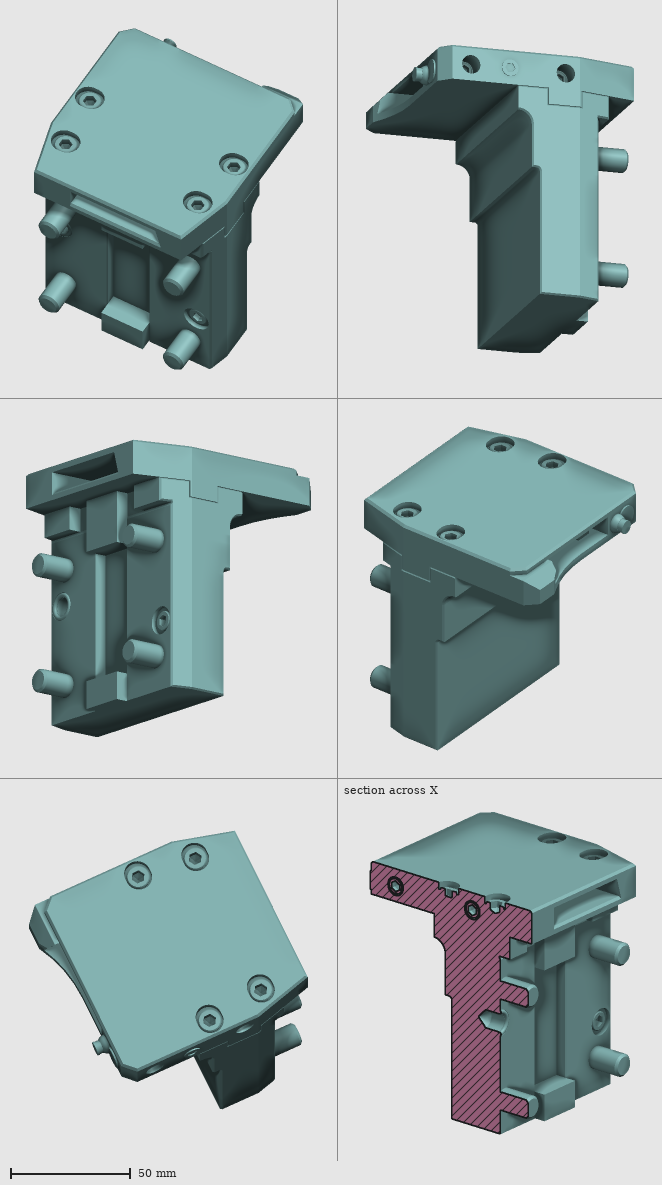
import cadquery as cq
import math


HALF_WIDTH = 42.5
HEIGHT = 105.0
PLATE_BOTTOM = 90.0
FRONT = -17.0
BACK = 70.0

TAPER_START = 9.0
FRONT_HALF_WIDTH = 35.5
BACK_CORNER = 5.0
TOP_CHAMFER = 1.0

UPPER_BACK = 36.0
UPPER_BOTTOM = 79.5
MIDDLE_BACK = 30.0
MIDDLE_BOTTOM = 55.0
LOWER_BACK = 26.5
STEP_RADIUS = 1.5
BODY_CHAMFER = 0.7
LEDGE_FRONT = -5.0
LEDGE_BOTTOM = 80.0
LEDGE_INNER_X = 21.3
RELIEF_DEPTH = 0.8
RELIEF_HEIGHT = 1.4

RIB_FRONT = 8.3
RIB_BACK = 22.7
RIB_BOTTOM = 83.0

KEY_HALF_WIDTH = 10.0
KEY_SLOT_DEPTH = 5.0
KEY_SLOT_CHAMFER = 0.5
KEY_LENGTH = 12.0
UPPER_KEY_BOTTOM = 68.0

PIN_X = 30.0
PIN_HEIGHTS = (15.0, 65.0)
PIN_DIAMETER = 10.0
PIN_END = -15.0
PIN_CHAMFER = 1.0

PORT_X = 33.0
OPEN_PORT_Z = 50.0
PLUGGED_PORT_Z = 30.0
PORT_DIAMETER = 12.0
PORT_BORE = 8.0
PORT_BORE_DEPTH = 8.0
RING_SECTION = 2.0
RING_PROUD = 0.4
PLUG_RECESS = 2.0
PLUG_DIAMETER = 8.5
PLUG_RISE = 1.0
PLUG_CHAMFER = 0.4
PLUG_HEX = 4.5
PLUG_HEX_DEPTH = 2.5

SCREW_PLACES = ((34.8, 28.0), (31.9, 3.0))
COUNTERBORE_LENGTH = 12.6
COUNTERBORE_WIDTH = 11.0
COUNTERBORE_DEPTH = 3.0
SCREW_HEAD_DIAMETER = 10.0
SCREW_HEAD_RISE = 1.0
SCREW_HEAD_CHAMFER = 0.6
SCREW_HEX = 5.0
SCREW_HEX_DEPTH = 3.0

WINDOW_LEFT = -18.2
WINDOW_FLOOR = 93.2
WINDOW_TOP = 102.0
WINDOW_RIGHT_TOP = 23.0
WINDOW_RIGHT_FLOOR = 25.5
WINDOW_SILL_CHAMFER = 1.0
JAW_LEFT = -14.5
JAW_RIGHT_FLOOR = -7.2
JAW_RIGHT_TOP = -5.0
JAW_FRONT = 9.0
JAW_BACK = 63.0

SIDE_AXIS_Z = 97.0
CLAMP_SCREW_Y = 39.8
CLAMP_SCREW_DIAMETER = 7.2
CLAMP_SCREW_PROUD = 0.53
CLAMP_SCREW_HEX = 3.8
CLAMP_HEX_DEPTH = 0.5
CLAMP_TIP_DIAMETER = 4.2
SIDE_BORE_YS = (15.3, 56.8)
SIDE_BORE_DIAMETER = 8.0
SIDE_BORE_DEPTH = 10.0
SIDE_SCREW_DIAMETER = 7.0
SIDE_SCREW_RISE = 1.0
SIDE_SCREW_CHAMFER = 0.6
SIDE_SCREW_HEX = 4.0
SIDE_SCREW_HEX_DEPTH = 2.5

NOSE_BACK = 77.0
NOSE_LEFT = 0.3
NOSE_CREST_X = 27.8
NOSE_CHAMFER = 5.0

PLUNGER_X = -23.7
PLUNGER_Z = 96.3
PLUNGER_DOME_RADIUS = 4.15
PLUNGER_NECK_RADIUS = 2.85
PLUNGER_CAP_RADIUS = 3.0
PLUNGER_CAP_LENGTH = 0.8
PLUNGER_LENGTH = 5.6
DISC_X = -30.2
DISC_DIAMETER = 10.0
DISC_THICKNESS = 0.7

SOCKET_POINT_ANGLE = 60.0
SOCKET_POINT_FILL = 0.95

FLANK_NORMAL_X = 0.9
SHARP_EDGE_YS = (TAPER_START, UPPER_BACK)
TOLERANCE = 0.01
OVERLAP = 1.0


def box(x0, x1, y0, y1, z0, z1):
    return cq.Workplane("XY").box(x1 - x0, y1 - y0, z1 - z0, centered=False).translate((x0, y0, z0))


def cylinder(diameter, length, start, direction):
    return cq.Workplane(cq.Solid.makeCylinder(diameter / 2, length, cq.Vector(*start), cq.Vector(*direction)))


def cone(diameter, tip_diameter, length, start, direction):
    solid = cq.Solid.makeCone(diameter / 2, tip_diameter / 2, length, cq.Vector(*start), cq.Vector(*direction))
    return cq.Workplane(solid)


def hex_prism(across_flats, depth, plane, taper=0):
    corner_diameter = across_flats / math.cos(math.pi / 6)
    return cq.Workplane(plane).polygon(6, corner_diameter).extrude(depth, taper=taper)


def hex_socket(across_flats, depth, start, direction, corner_direction):
    """Hexagonal socket with a blunt six-sided point at its floor."""
    mouth = cq.Plane(origin=start, xDir=corner_direction, normal=direction)
    floor = cq.Plane(origin=mouth.toWorldCoords((0, 0, depth)), xDir=corner_direction, normal=direction)
    point_height = SOCKET_POINT_FILL * across_flats / 2 / math.tan(math.radians(SOCKET_POINT_ANGLE))
    point = hex_prism(across_flats, point_height, floor, SOCKET_POINT_ANGLE)
    return hex_prism(across_flats, depth, mouth).union(point)


def plan_prism(bottom, top):
    """Plate outline (tapered front, cut back corners) raised between two heights."""
    right_side = [
        (FRONT_HALF_WIDTH, FRONT),
        (HALF_WIDTH, TAPER_START),
        (HALF_WIDTH, BACK - BACK_CORNER),
        (HALF_WIDTH - BACK_CORNER, BACK),
    ]
    left_side = [(-x, y) for x, y in reversed(right_side)]
    outline = cq.Workplane("XY").workplane(offset=bottom).polyline(right_side + left_side).close()
    return outline.extrude(top - bottom)


def make_body():
    ledge_radius = UPPER_BACK - MIDDLE_BACK
    bend = math.sqrt(0.5)
    profile = (
        cq.Workplane("YZ", origin=(-HALF_WIDTH, 0, 0))
        .moveTo(0, 0)
        .lineTo(LOWER_BACK, 0)
        .lineTo(LOWER_BACK, MIDDLE_BOTTOM - STEP_RADIUS)
        .threePointArc(
            (LOWER_BACK + STEP_RADIUS * (1 - bend), MIDDLE_BOTTOM - STEP_RADIUS * (1 - bend)),
            (LOWER_BACK + STEP_RADIUS, MIDDLE_BOTTOM),
        )
        .lineTo(MIDDLE_BACK, MIDDLE_BOTTOM)
        .lineTo(MIDDLE_BACK, UPPER_BOTTOM - ledge_radius)
        .threePointArc(
            (UPPER_BACK - ledge_radius * bend, UPPER_BOTTOM - ledge_radius * (1 - bend)),
            (UPPER_BACK, UPPER_BOTTOM),
        )
        .lineTo(UPPER_BACK, PLATE_BOTTOM)
        .lineTo(RIB_BACK, PLATE_BOTTOM)
        .lineTo(RIB_BACK, RIB_BOTTOM)
        .lineTo(RIB_FRONT, RIB_BOTTOM)
        .lineTo(RIB_FRONT, PLATE_BOTTOM)
        .lineTo(LEDGE_FRONT, PLATE_BOTTOM)
        .lineTo(LEDGE_FRONT, LEDGE_BOTTOM)
        .lineTo(0, LEDGE_BOTTOM)
        .close()
    )
    body = profile.extrude(2 * HALF_WIDTH).intersect(plan_prism(0, PLATE_BOTTOM))
    return chamfer_side_edges(body)


def chamfer_side_edges(body):
    """Bevel the rim of both flanks, but not the taper bend nor the rearmost edge."""
    rim = []
    for face in body.faces().vals():
        is_flank = abs(face.normalAt().x) > FLANK_NORMAL_X
        if not is_flank:
            continue
        for edge in face.Edges():
            upright = edge.BoundingBox().ylen < TOLERANCE
            sharp = upright and any(abs(edge.Center().y - y) < TOLERANCE for y in SHARP_EDGE_YS)
            if not sharp:
                rim.append(edge)
    return body.newObject(rim).chamfer(BODY_CHAMFER)


def relieve_ledge(body):
    """Sloped relief under the ledge; between the ledge halves it rises to the plate."""
    relief = (
        cq.Workplane("YZ", origin=(-HALF_WIDTH, 0, 0))
        .polyline([
            (0, LEDGE_BOTTOM - RELIEF_HEIGHT),
            (RELIEF_DEPTH, LEDGE_BOTTOM),
            (LEDGE_FRONT, LEDGE_BOTTOM),
            (LEDGE_FRONT, LEDGE_BOTTOM - RELIEF_HEIGHT),
        ])
        .close()
        .extrude(2 * HALF_WIDTH)
    )
    gap = box(-LEDGE_INNER_X, LEDGE_INNER_X, LEDGE_FRONT, RELIEF_DEPTH, LEDGE_BOTTOM, PLATE_BOTTOM)
    return body.cut(relief).cut(gap)


def add_keys(body):
    slot_mouth = KEY_HALF_WIDTH + KEY_SLOT_CHAMFER
    slot = (
        cq.Workplane("XY")
        .polyline([
            (-slot_mouth, LEDGE_FRONT),
            (slot_mouth, LEDGE_FRONT),
            (slot_mouth, 0),
            (KEY_HALF_WIDTH, KEY_SLOT_CHAMFER),
            (KEY_HALF_WIDTH, KEY_SLOT_DEPTH),
            (-KEY_HALF_WIDTH, KEY_SLOT_DEPTH),
            (-KEY_HALF_WIDTH, KEY_SLOT_CHAMFER),
            (-slot_mouth, 0),
        ])
        .close()
        .extrude(PLATE_BOTTOM)
    )
    body = body.cut(slot)
    for bottom, top in ((0, KEY_LENGTH), (UPPER_KEY_BOTTOM, PLATE_BOTTOM)):
        body = body.union(
            box(-KEY_HALF_WIDTH, KEY_HALF_WIDTH, LEDGE_FRONT, KEY_SLOT_DEPTH + OVERLAP, bottom, top)
        )
    return body


def add_pins(body):
    for x in (-PIN_X, PIN_X):
        for z in PIN_HEIGHTS:
            pin = cylinder(PIN_DIAMETER, OVERLAP - PIN_END, (x, PIN_END, z), (0, 1, 0))
            body = body.union(pin.faces("<Y").chamfer(PIN_CHAMFER))
    return body


def add_open_port(body):
    """Blind coolant bore ringed by a slightly proud sealing ring in a recess."""
    mouth = (-PORT_X, 0, OPEN_PORT_Z)
    inward = (0, 1, 0)
    cone_length = PORT_BORE / 2
    bore_end = (-PORT_X, PORT_BORE_DEPTH, OPEN_PORT_Z)
    body = body.cut(cylinder(PORT_DIAMETER, RING_SECTION / 2, mouth, inward))
    body = body.cut(cylinder(PORT_BORE, PORT_BORE_DEPTH, mouth, inward))
    body = body.cut(cone(PORT_BORE, 0, cone_length, bore_end, inward))
    ring_center = (-PORT_X, RING_SECTION / 2 - RING_PROUD, OPEN_PORT_Z)
    ring_radius = (PORT_DIAMETER - RING_SECTION) / 2
    ring = cq.Solid.makeTorus(ring_radius, RING_SECTION / 2, cq.Vector(*ring_center), cq.Vector(*inward))
    return body.union(cq.Workplane(ring))


def add_plugged_port(body):
    """Recess closed by a plug with a hexagon socket."""
    mouth = (PORT_X, 0, PLUGGED_PORT_Z)
    plug_face = (PORT_X, PLUG_RECESS - PLUG_RISE, PLUGGED_PORT_Z)
    inward = (0, 1, 0)
    body = body.cut(cylinder(PORT_DIAMETER, PLUG_RECESS, mouth, inward))
    plug = cylinder(PLUG_DIAMETER, PLUG_RISE + OVERLAP, plug_face, inward)
    body = body.union(plug.faces("<Y").chamfer(PLUG_CHAMFER))
    return body.cut(hex_socket(PLUG_HEX, PLUG_HEX_DEPTH, plug_face, inward, (0, 0, 1)))


def make_plate():
    plate = plan_prism(PLATE_BOTTOM, HEIGHT).faces(">Z").chamfer(TOP_CHAMFER)
    rib_space = box(-HALF_WIDTH, HALF_WIDTH, RIB_FRONT, RIB_BACK, RIB_BOTTOM, PLATE_BOTTOM)
    rib = plan_prism(RIB_BOTTOM, PLATE_BOTTOM).intersect(rib_space)
    return plate.union(rib)


def add_nose(plate):
    """Thumb nose: concave arc rising from the back face to a flat crest."""
    rise = NOSE_BACK - BACK
    run = NOSE_CREST_X - NOSE_LEFT
    radius = (run ** 2 + rise ** 2) / (2 * rise)
    half_angle = math.asin(run / radius) / 2
    arc_middle = (NOSE_LEFT + radius * math.sin(half_angle), BACK + radius * (1 - math.cos(half_angle)))
    root = BACK - BACK_CORNER
    nose = (
        cq.Workplane("XY", origin=(0, 0, PLATE_BOTTOM))
        .moveTo(NOSE_LEFT, root)
        .lineTo(NOSE_LEFT, BACK)
        .threePointArc(arc_middle, (NOSE_CREST_X, NOSE_BACK))
        .lineTo(HALF_WIDTH - NOSE_CHAMFER, NOSE_BACK)
        .lineTo(HALF_WIDTH, NOSE_BACK - NOSE_CHAMFER)
        .lineTo(HALF_WIDTH, root)
        .close()
        .extrude(WINDOW_TOP - PLATE_BOTTOM)
    )
    top_bevel = (
        cq.Workplane("YZ")
        .polyline([
            (NOSE_BACK - NOSE_CHAMFER, WINDOW_TOP),
            (NOSE_BACK, WINDOW_TOP),
            (NOSE_BACK, WINDOW_TOP - NOSE_CHAMFER),
        ])
        .close()
        .extrude(HALF_WIDTH)
    )
    return plate.union(nose.cut(top_bevel))


def cut_window(plate):
    window = (
        cq.Workplane("XZ", origin=(0, NOSE_BACK, 0))
        .polyline([
            (WINDOW_LEFT, WINDOW_FLOOR),
            (WINDOW_LEFT, WINDOW_TOP),
            (WINDOW_RIGHT_TOP, WINDOW_TOP),
            (WINDOW_RIGHT_FLOOR, WINDOW_FLOOR),
        ])
        .close()
        .extrude(NOSE_BACK - FRONT)
    )
    sill = (
        cq.Workplane("YZ", origin=(WINDOW_LEFT, 0, 0))
        .polyline([
            (FRONT, WINDOW_FLOOR),
            (FRONT, WINDOW_FLOOR - WINDOW_SILL_CHAMFER),
            (FRONT + WINDOW_SILL_CHAMFER, WINDOW_FLOOR),
        ])
        .close()
        .extrude(WINDOW_RIGHT_FLOOR - WINDOW_LEFT)
    )
    return plate.cut(window).cut(sill)


def add_jaw(plate):
    jaw = (
        cq.Workplane("XZ", origin=(0, JAW_BACK, 0))
        .polyline([
            (JAW_LEFT, WINDOW_FLOOR - OVERLAP),
            (JAW_LEFT, WINDOW_TOP),
            (JAW_RIGHT_TOP, WINDOW_TOP),
            (JAW_RIGHT_FLOOR, WINDOW_FLOOR),
            (JAW_RIGHT_FLOOR, WINDOW_FLOOR - OVERLAP),
        ])
        .close()
        .extrude(JAW_BACK - JAW_FRONT)
    )
    tip_start = (WINDOW_LEFT - OVERLAP, CLAMP_SCREW_Y, SIDE_AXIS_Z)
    tip_length = JAW_LEFT - WINDOW_LEFT + 2 * OVERLAP
    return plate.union(jaw).union(cylinder(CLAMP_TIP_DIAMETER, tip_length, tip_start, (1, 0, 0)))


def add_clamp_screw(plate):
    face = (-HALF_WIDTH - CLAMP_SCREW_PROUD, CLAMP_SCREW_Y, SIDE_AXIS_Z)
    inward = (1, 0, 0)
    plate = plate.union(cylinder(CLAMP_SCREW_DIAMETER, CLAMP_SCREW_PROUD + OVERLAP, face, inward))
    socket_mouth = cq.Plane(origin=face, xDir=(0, 1, 0), normal=inward)
    return plate.cut(hex_prism(CLAMP_SCREW_HEX, CLAMP_HEX_DEPTH, socket_mouth))


def cut_side_bores(plate):
    """Bores with a socket screw head standing on the floor of each."""
    inward = (1, 0, 0)
    head_x = -HALF_WIDTH + SIDE_BORE_DEPTH - SIDE_SCREW_RISE
    for y in SIDE_BORE_YS:
        mouth = (-HALF_WIDTH, y, SIDE_AXIS_Z)
        head_face = (head_x, y, SIDE_AXIS_Z)
        bore = cylinder(SIDE_BORE_DIAMETER, SIDE_BORE_DEPTH, mouth, inward)
        head = cylinder(SIDE_SCREW_DIAMETER, SIDE_SCREW_RISE + OVERLAP, head_face, inward)
        head = head.faces("<X").chamfer(SIDE_SCREW_CHAMFER)
        socket = hex_socket(SIDE_SCREW_HEX, SIDE_SCREW_HEX_DEPTH, head_face, inward, (0, 0, 1))
        plate = plate.cut(bore).union(head).cut(socket)
    return plate


def add_plate_screws(plate):
    floor = HEIGHT - COUNTERBORE_DEPTH
    head_top = floor + SCREW_HEAD_RISE
    for half_spacing, y in SCREW_PLACES:
        for x in (-half_spacing, half_spacing):
            recess = (
                cq.Workplane("XY", origin=(x, y, floor))
                .slot2D(COUNTERBORE_LENGTH, COUNTERBORE_WIDTH)
                .extrude(COUNTERBORE_DEPTH)
            )
            head = cylinder(
                SCREW_HEAD_DIAMETER, SCREW_HEAD_RISE + OVERLAP, (x, y, floor - OVERLAP), (0, 0, 1)
            )
            head = head.faces(">Z").chamfer(SCREW_HEAD_CHAMFER)
            socket = hex_socket(SCREW_HEX, SCREW_HEX_DEPTH, (x, y, head_top), (0, 0, -1), (0, 1, 0))
            plate = plate.cut(recess).union(head).cut(socket)
    return plate


def add_plunger(plate):
    """Spring plunger (revolved about Y) and a thin disc on the back face."""
    cap_start = PLUNGER_LENGTH - PLUNGER_CAP_LENGTH
    dome_height = math.sqrt(PLUNGER_DOME_RADIUS ** 2 - PLUNGER_CAP_RADIUS ** 2)
    half_angle = math.atan2(dome_height, PLUNGER_CAP_RADIUS) / 2
    dome_middle = (PLUNGER_DOME_RADIUS * math.cos(half_angle), PLUNGER_DOME_RADIUS * math.sin(half_angle))
    plunger = (
        cq.Workplane("XY", origin=(PLUNGER_X, BACK, PLUNGER_Z))
        .moveTo(0, -OVERLAP)
        .lineTo(PLUNGER_DOME_RADIUS, -OVERLAP)
        .lineTo(PLUNGER_DOME_RADIUS, 0)
        .threePointArc(dome_middle, (PLUNGER_CAP_RADIUS, dome_height))
        .lineTo(PLUNGER_NECK_RADIUS, dome_height)
        .lineTo(PLUNGER_NECK_RADIUS, cap_start)
        .lineTo(PLUNGER_CAP_RADIUS, cap_start)
        .lineTo(PLUNGER_CAP_RADIUS, PLUNGER_LENGTH)
        .lineTo(0, PLUNGER_LENGTH)
        .close()
        .revolve(360, (0, 0, 0), (0, 1, 0))
    )
    disc_start = (DISC_X, BACK - OVERLAP, PLUNGER_Z)
    disc = cylinder(DISC_DIAMETER, DISC_THICKNESS + OVERLAP, disc_start, (0, 1, 0))
    return plate.union(plunger).union(disc)


body = make_body()
body = relieve_ledge(body)
body = add_keys(body)
body = add_pins(body)
body = add_open_port(body)
body = add_plugged_port(body)

plate = make_plate()
plate = add_nose(plate)
plate = cut_window(plate)
plate = add_jaw(plate)
plate = add_clamp_screw(plate)
plate = cut_side_bores(plate)
plate = add_plate_screws(plate)
plate = add_plunger(plate)

result = plate.union(body)